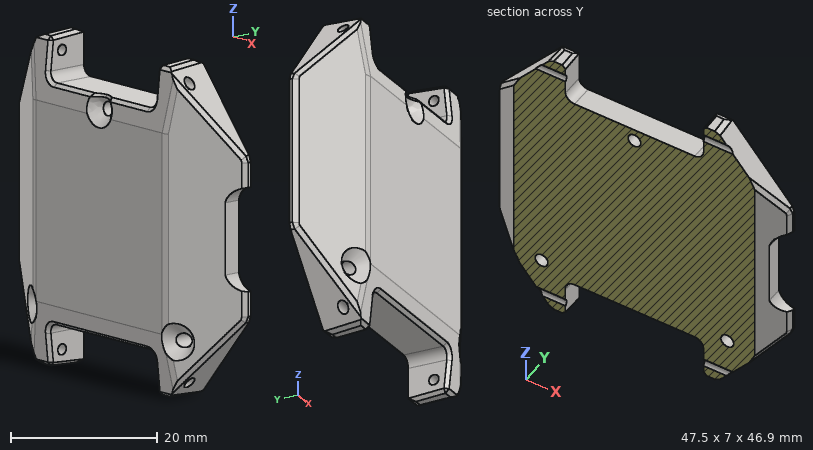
import cadquery as cq
import math


half_width = 23.75
half_height = 23.45
thickness = 7.0

side_half_height = 11.35
ear_outer_x = 13.45
ear_inner_x = 11.15
notch_floor_z = 17.0
notch_fillet = 1.42

side_edge = 1.0
front_half_width = 13.75
wing_slope = (thickness - side_edge) / (half_width - front_half_width)

front_half_height = 14.15
ear_lean = math.tan(math.radians(6.0))
tip_bevel_depth = 0.95
tip_bevel_drop = 0.48
tip_lean = math.tan(math.radians(3.5))
tip_front_depth = 6.05
tip_front_z = half_height - tip_lean * (tip_front_depth - tip_bevel_depth)

edge_chamfer = 0.5
plain_corner_z = 19.95

screw_hole = 2.0
lower_screw_x = 15.05
lower_screw_z = -15.05
upper_screw_z = 14.95
sink_width = 1.6
mouth_height = 0.7

pin_hole = 1.5
pin_y = -4.0
pin_z = 21.05

cutout_x = 21.25
cutout_flat_half = 5.1
cutout_mouth_half = 7.3
cutout_arc_x = 22.15
cutout_arc_z = 6.55

overrun = 1.42
tolerance = 0.005
through = 2 * (half_width + overrun)


def outline_block():
    run_x = ear_outer_x - overrun * (half_width - ear_outer_x) / (half_height - side_half_height)
    run_z = half_height + overrun
    points = [
        (run_x, run_z),
        (half_width, side_half_height),
        (half_width, -side_half_height),
        (run_x, -run_z),
        (-run_x, -run_z),
        (-half_width, -side_half_height),
        (-half_width, side_half_height),
        (-run_x, run_z),
    ]
    return cq.Workplane("XZ").polyline(points).close().extrude(thickness)


def wing_block():
    points = [
        (-half_width, 0),
        (-half_width, -side_edge),
        (-front_half_width, -thickness),
        (front_half_width, -thickness),
        (half_width, -side_edge),
        (half_width, 0),
    ]
    return cq.Workplane("XY").polyline(points).close().extrude(through / 2, both=True)


def lean_block():
    upper = [
        (-thickness, front_half_height),
        (-tip_front_depth, tip_front_z),
        (0, half_height + tip_lean * tip_bevel_depth),
    ]
    lower = [(y, -z) for y, z in reversed(upper)]
    return cq.Workplane("YZ").polyline(upper + lower).close().extrude(through / 2, both=True)


def notch(side):
    """Square notch between two ears, side = +1 for the upper and -1 for the lower."""
    height = half_height
    return (
        cq.Workplane("XY")
        .box(2 * ear_inner_x, through, height)
        .edges("|Y")
        .fillet(notch_fillet)
        .translate((0, 0, side * (notch_floor_z + height / 2)))
    )


def tip_bevel(side):
    """Wedge that bevels the back edge of the ear tips on one end."""
    points = [
        (0, side * (half_height - tip_bevel_drop)),
        (-tip_bevel_depth, side * half_height),
        (-tip_bevel_depth, side * (half_height + overrun)),
        (0, side * (half_height + overrun)),
    ]
    return cq.Workplane("YZ").polyline(points).close().extrude(through / 2, both=True)


def screw_cut(x, z, front_depth, slope_dir, slope):
    """Hole along Y whose rim on a sloping facet carries a wide chamfer.

    slope_dir is the direction along which the facet falls back, slope its fall per unit length.
    """
    tilt = math.atan(slope)
    normal = cq.Vector(0, -math.cos(tilt), 0) + slope_dir * math.sin(tilt)
    downhill = slope_dir * math.cos(tilt) + cq.Vector(0, math.sin(tilt), 0)
    radius = screw_hole / 2
    long_radius = radius / math.cos(tilt)

    def rim(grow, depth):
        center = cq.Vector(x, depth - front_depth, z)
        return cq.Wire.makeEllipse(long_radius + grow, radius + grow, center, normal, downhill)

    outer_rim = rim(sink_width, 0)
    sink = cq.Solid.makeLoft([rim(0, sink_width), outer_rim], True)
    mouth = cq.Solid.extrudeLinear(outer_rim, [], normal * mouth_height)
    shaft = cq.Workplane("XZ").center(x, z).circle(radius).extrude(thickness, both=True)
    return shaft.union(cq.Workplane(sink)).union(cq.Workplane(mouth))


def pin_cut(z):
    pin = cq.Workplane("YZ").center(pin_y, z).circle(pin_hole / 2)
    return pin.extrude(through / 2, both=True)


def cable_cutout():
    return (
        cq.Workplane("XZ")
        .moveTo(cutout_x, -cutout_flat_half)
        .threePointArc((cutout_arc_x, -cutout_arc_z), (half_width, -cutout_mouth_half))
        .lineTo(half_width + overrun, -cutout_mouth_half)
        .lineTo(half_width + overrun, cutout_mouth_half)
        .lineTo(half_width, cutout_mouth_half)
        .threePointArc((cutout_arc_x, cutout_arc_z), (cutout_x, cutout_flat_half))
        .close()
        .extrude(thickness)
    )


def is_rim(edge):
    """True for the front and corner edges that carry the chamfer."""
    center = edge.Center()
    box = edge.BoundingBox()
    on_back = box.ymin > -tolerance
    lean_break = abs(abs(center.z) - front_half_height) < tolerance
    in_notch = abs(center.x) < ear_inner_x + tolerance and abs(center.z) > notch_floor_z - notch_fillet
    fillet_seam = in_notch and box.xlen < tolerance and box.zlen < tolerance
    in_sink = abs(center.x) < screw_hole + sink_width and 0 < center.z < notch_floor_z - tolerance
    ear_corner = abs(center.x) > front_half_width and abs(center.z) > plain_corner_z
    return not (on_back or lean_break or fillet_seam or in_sink or ear_corner)


body = outline_block().intersect(wing_block()).intersect(lean_block())
body = body.cut(notch(1)).cut(notch(-1))

lean_depth = thickness - ear_lean * (upper_screw_z - front_half_height)
body = body.cut(screw_cut(0, upper_screw_z, lean_depth, cq.Vector(0, 0, 1), ear_lean))
rim_edges = [edge for edge in body.edges().vals() if is_rim(edge)]
body = body.newObject(rim_edges).chamfer(edge_chamfer)

for end in (1, -1):
    body = body.cut(tip_bevel(end)).cut(pin_cut(end * pin_z))

wing_depth = thickness - wing_slope * (lower_screw_x - front_half_width)
for hand in (1, -1):
    outward = cq.Vector(hand, 0, 0)
    body = body.cut(screw_cut(hand * lower_screw_x, lower_screw_z, wing_depth, outward, wing_slope))

result = body.cut(cable_cutout())